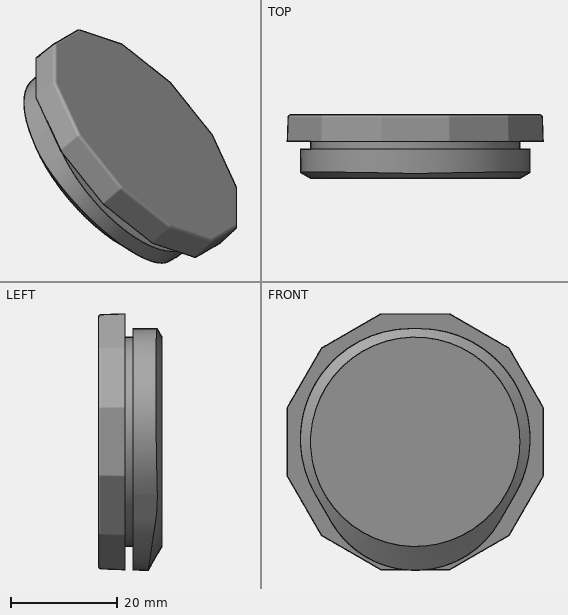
import cadquery as cq
import math

head_sides = 12
head_across_flats = 48.3
head_thickness = 5.05
head_draft = 2.0
corner_radius = 0.6
back_edge_radius = 0.6

neck_diameter = 39.5
neck_length = 1.45
lip_thickness = 5.5
bevel_angle = 30.0

top_flat_width = 1.7
top_height = 21.35
shoulder_radius = 20.8
bottom_depth = 24.25
slant_angle = 30.0

slant_cos = math.cos(math.radians(slant_angle))
slant_sin = math.sin(math.radians(slant_angle))
shoulder_x = top_flat_width / 2
shoulder_z = top_height - shoulder_radius
slant_distance = shoulder_radius + shoulder_x * slant_cos - shoulder_z * slant_sin
bottom_z = (slant_distance - bottom_depth) / (1 - slant_sin)
bottom_radius = bottom_depth + bottom_z


def make_head():
    """Drafted polygon with rounded corners and a rounded back edge."""
    half_step = 180 / head_sides
    across_corners = head_across_flats / math.cos(math.radians(half_step))
    return (
        cq.Workplane("XZ")
        .transformed(rotate=(0, 0, half_step))
        .polygon(head_sides, across_corners)
        .extrude(-head_thickness, taper=head_draft)
        .edges("not(#Y)")
        .fillet(corner_radius)
        .faces(">Y")
        .edges()
        .fillet(back_edge_radius)
    )


def make_neck():
    """Round neck, running on through the lip as its core."""
    return cq.Workplane("XZ").circle(neck_diameter / 2).extrude(neck_length + lip_thickness)


def shoulder_point(angle, side):
    """Point of the left (side -1) or right (side 1) shoulder arc, at an angle above horizontal."""
    x = shoulder_x + shoulder_radius * math.cos(math.radians(angle))
    z = shoulder_z + shoulder_radius * math.sin(math.radians(angle))
    return (side * x, z)


def bottom_point(side):
    """End of the bottom arc, where it meets a slanted flat."""
    return (side * bottom_radius * slant_cos, bottom_z - bottom_radius * slant_sin)


def make_lip():
    """Lip prism, cut to a cone that bevels its end face."""
    middle_angle = (90 - slant_angle) / 2
    prism = (
        cq.Workplane("XZ", origin=(0, -neck_length, 0))
        .moveTo(-shoulder_x, top_height)
        .lineTo(shoulder_x, top_height)
        .threePointArc(shoulder_point(middle_angle, 1), shoulder_point(-slant_angle, 1))
        .lineTo(*bottom_point(1))
        .threePointArc((0, -bottom_depth), bottom_point(-1))
        .lineTo(*shoulder_point(-slant_angle, -1))
        .threePointArc(shoulder_point(middle_angle, -1), (-shoulder_x, top_height))
        .close()
        .extrude(lip_thickness)
    )
    end_y = -(neck_length + lip_thickness)
    end_radius = neck_diameter / 2
    base_radius = end_radius + lip_thickness / math.tan(math.radians(bevel_angle))
    cone = (
        cq.Workplane("XY")
        .moveTo(0, end_y)
        .lineTo(end_radius, end_y)
        .lineTo(base_radius, -neck_length)
        .lineTo(0, -neck_length)
        .close()
        .revolve(360, (0, 0), (0, 1))
    )
    return prism.intersect(cone)


result = make_head().union(make_neck()).union(make_lip())